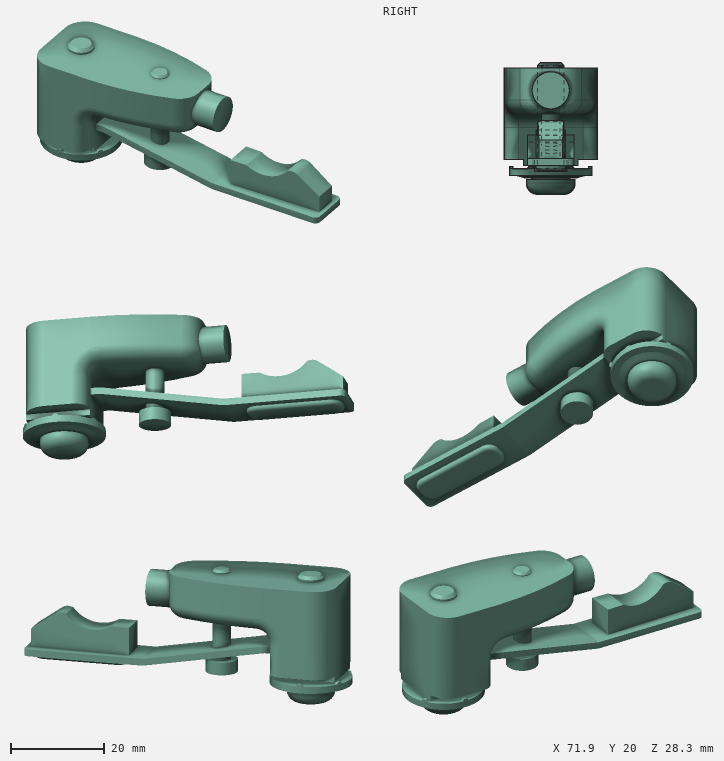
import cadquery as cq
import math


housing_top = 21.0
housing_back = -7.1
housing_nose = 31.0
half_width = 10.0
corner_radius = 4.95
taper_start = 8.0
taper_middle = (18.0, 9.05)
nose_half_width = 5.4
column_front = 7.0
arm_bottom = 11.1
edge_radius = 3.0
inner_corner_radius = 2.9
rail_height = 1.3
rail_half_width = 5.9

tube_diameter = 8.0
tube_axis_height = 16.2
tube_end = 35.95

strap_width = 10.1
strap_thickness = 1.5
strap_root_height = 5.0
first_bend = 8.9
second_bend = 36.25
strap_end = 63.0
strap_corner_radius = 1.2

saddle_back = 39.8
saddle_front = 62.0
saddle_back_width = 6.4
saddle_front_width = 5.1
saddle_back_height = 7.6
saddle_front_height = 5.5
dip_start = 43.8
dip_center = 47.9
dip_height = 6.5
ridge_start_x = 54.1
ridge_peak = (55.35, 9.7)
ridge_end = (56.45, 9.35)

foot_back = 40.4
foot_front = 61.6
foot_width = saddle_back_width
foot_depth = 1.1
foot_corner_radius = 2.5
foot_edge_radius = 0.85

stop_x = 20.0
stop_diameter = 4.0
stop_head_diameter = 7.0
stop_head_bottom = -1.2
stop_head_top = 1.6
stop_top = housing_top + 0.65
stop_chamfer = 0.4

stud_diameter = 5.75
stud_top = housing_top + 1.15
stud_chamfer = 0.65
disc_diameter = 17.8
disc_top = -0.65
disc_bottom = -2.15
cone_top_diameter = 14.4
cone_bottom_diameter = 10.9
cone_bottom = -2.65
neck_diameter = 8.2
head_diameter = 10.5
head_top = -2.95
head_bottom = -6.2
head_edge_radius = 2.45
tooth_count = 6
tooth_height = 0.4
tooth_base_width = 1.5
tooth_tip_width = 0.7
tooth_length = 0.7
tooth_outer_end = 8.85
tooth_first_angle = 30

cut_margin = 0.7


def cylinder_z(diameter, bottom, top):
    return cq.Workplane("XY").workplane(offset=bottom).circle(diameter / 2).extrude(top - bottom)


def box_between(x_range, y_range, z_range):
    size = [end - start for start, end in (x_range, y_range, z_range)]
    return cq.Workplane("XY").box(*size, centered=False).translate((x_range[0], y_range[0], z_range[0]))


def make_housing_shell():
    taper_x, taper_y = taper_middle
    shell = (
        cq.Workplane("XY")
        .moveTo(housing_back, -half_width)
        .lineTo(taper_start, -half_width)
        .threePointArc((taper_x, -taper_y), (housing_nose, -nose_half_width))
        .lineTo(housing_nose, nose_half_width)
        .threePointArc((taper_x, taper_y), (taper_start, half_width))
        .lineTo(housing_back, half_width)
        .close()
        .extrude(housing_top)
    )
    shell = shell.edges("|Z and <X").fillet(corner_radius)
    shell = shell.edges("|Z and >X").fillet(corner_radius)

    undercut = box_between(
        (column_front, housing_nose + cut_margin),
        (-half_width - cut_margin, half_width + cut_margin),
        (-cut_margin, arm_bottom),
    )
    undercut = undercut.edges("<X and >Z").fillet(inner_corner_radius)
    shell = shell.cut(undercut)

    column_edge = cq.selectors.NearestToPointSelector((column_front, half_width, 0))
    return shell.edges(column_edge).fillet(edge_radius)


def make_tube():
    return (
        cq.Workplane("YZ")
        .workplane(offset=housing_nose - corner_radius)
        .center(0, tube_axis_height)
        .circle(tube_diameter / 2)
        .extrude(tube_end - housing_nose + corner_radius)
    )


def make_strap():
    root = column_front - edge_radius
    root_top = strap_root_height + strap_thickness
    strap = (
        cq.Workplane("XZ")
        .moveTo(root, strap_root_height)
        .lineTo(first_bend, strap_root_height)
        .lineTo(second_bend, 0)
        .lineTo(strap_end, 0)
        .lineTo(strap_end, strap_thickness)
        .lineTo(second_bend, strap_thickness)
        .lineTo(first_bend, root_top)
        .lineTo(root, root_top)
        .close()
        .extrude(strap_width / 2, both=True)
    )
    return strap.edges("|Z and >X").fillet(strap_corner_radius)


def make_saddle():
    dip_depth = saddle_back_height - dip_height
    dip_radius = ((dip_center - dip_start) ** 2 + dip_depth**2) / (2 * dip_depth)
    dip_axis_height = dip_height + dip_radius
    ridge_start = (ridge_start_x, dip_axis_height - math.sqrt(dip_radius**2 - (ridge_start_x - dip_center) ** 2))
    profile = (
        cq.Workplane("XZ")
        .moveTo(saddle_back, strap_thickness)
        .lineTo(saddle_back, saddle_back_height)
        .lineTo(dip_start, saddle_back_height)
        .threePointArc((dip_center, dip_height), ridge_start)
        .threePointArc(ridge_peak, ridge_end)
        .lineTo(saddle_front, saddle_front_height)
        .lineTo(saddle_front, strap_thickness)
        .close()
        .extrude(saddle_back_width, both=True)
    )
    tapered_plan = (
        cq.Workplane("XY")
        .moveTo(saddle_back, -saddle_back_width / 2)
        .lineTo(saddle_front, -saddle_front_width / 2)
        .lineTo(saddle_front, saddle_front_width / 2)
        .lineTo(saddle_back, saddle_back_width / 2)
        .close()
        .extrude(ridge_peak[1] + cut_margin)
    )
    return profile.intersect(tapered_plan)


def make_foot():
    foot = box_between((foot_back, foot_front), (-foot_width / 2, foot_width / 2), (-foot_depth, 0))
    return foot.edges("|Z").fillet(foot_corner_radius).faces("<Z").edges().fillet(foot_edge_radius)


def make_stop_screw():
    shank = cylinder_z(stop_diameter, stop_head_bottom, stop_top).faces(">Z").chamfer(stop_chamfer)
    head = cylinder_z(stop_head_diameter, stop_head_bottom, stop_head_top)
    return shank.union(head).translate((stop_x, 0, 0))


def make_lever():
    """The housing with its tube, strap, saddle, foot and stop screw, as one body."""
    housing = make_housing_shell()

    for side in (-1, 1):
        near, far = sorted((side * rail_half_width, side * (half_width + cut_margin)))
        step = box_between(
            (housing_back - cut_margin, column_front + cut_margin), (near, far), (-cut_margin, rail_height)
        )
        housing = housing.cut(step)

    lever = housing.union(make_tube()).union(make_strap()).union(make_saddle()).union(make_foot())
    lever = lever.union(make_stop_screw())
    return lever.cut(cylinder_z(stud_diameter, -cut_margin, housing_top + cut_margin))


def make_disc_tooth():
    """A small tapered ridge on top of the disc, just inside the rim on the +X side."""
    return (
        cq.Workplane("YZ")
        .workplane(offset=tooth_outer_end - tooth_length)
        .moveTo(-tooth_base_width / 2, disc_top)
        .lineTo(-tooth_tip_width / 2, disc_top + tooth_height)
        .lineTo(tooth_tip_width / 2, disc_top + tooth_height)
        .lineTo(tooth_base_width / 2, disc_top)
        .close()
        .extrude(tooth_length)
    )


def make_clamp_screw():
    """The screw through the housing, with its toothed disc and domed head, as one body."""
    head_radius = head_diameter / 2
    arc_inset = head_edge_radius * (1 - math.sqrt(0.5))
    screw = (
        cq.Workplane("XZ")
        .moveTo(0, head_bottom)
        .lineTo(head_radius - head_edge_radius, head_bottom)
        .threePointArc(
            (head_radius - arc_inset, head_bottom + arc_inset), (head_radius, head_bottom + head_edge_radius)
        )
        .lineTo(head_radius, head_top)
        .lineTo(neck_diameter / 2, head_top)
        .lineTo(neck_diameter / 2, cone_bottom)
        .lineTo(cone_bottom_diameter / 2, cone_bottom)
        .lineTo(cone_top_diameter / 2, disc_bottom)
        .lineTo(disc_diameter / 2, disc_bottom)
        .lineTo(disc_diameter / 2, disc_top)
        .lineTo(stud_diameter / 2, disc_top)
        .lineTo(stud_diameter / 2, stud_top - stud_chamfer)
        .lineTo(stud_diameter / 2 - stud_chamfer, stud_top)
        .lineTo(0, stud_top)
        .close()
        .revolve(360, (0, 0, 0), (0, 1, 0))
    )

    tooth = make_disc_tooth()
    for index in range(tooth_count):
        angle = tooth_first_angle + index * 360 / tooth_count
        screw = screw.union(tooth.rotate((0, 0, 0), (0, 0, 1), angle))
    return screw


lever = make_lever()
clamp_screw = make_clamp_screw()
result = cq.Compound.makeCompound([lever.val(), clamp_screw.val()])